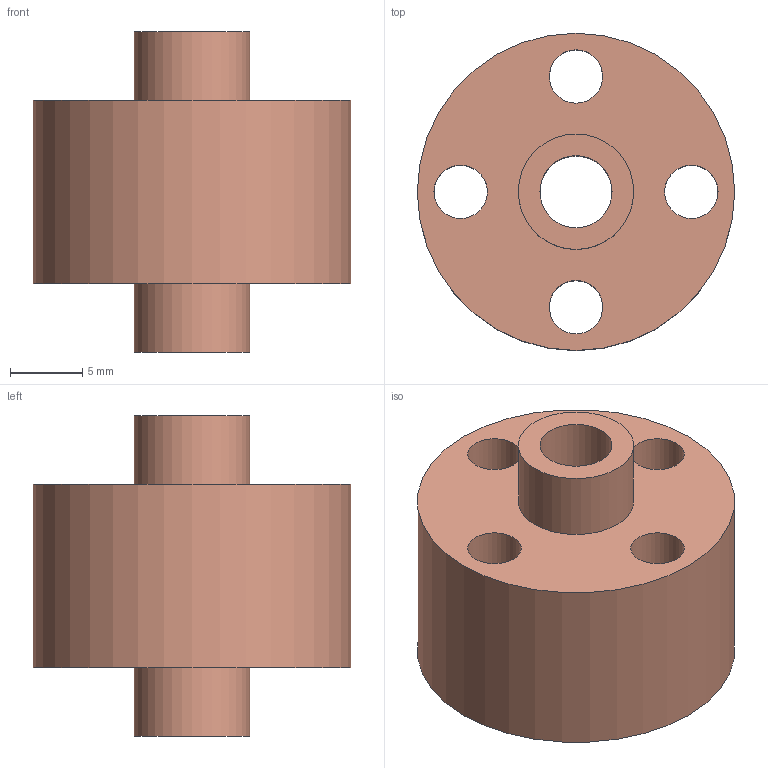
import cadquery as cq

body_diameter = 22.0
body_height = 12.7

hub_diameter = 8.0
hub_length = 4.75
bore_diameter = 5.0

bolt_hole_diameter = 3.7
bolt_circle_diameter = 16.0
bolt_hole_count = 4

total_height = body_height + 2 * hub_length


def centered_cylinder(diameter, height):
    """Cylinder on the Z axis, centered on the origin."""
    return cq.Workplane("XY").cylinder(height, diameter / 2)


def bolt_holes():
    """Ring of cylinders to cut through the body, the first one on the +X axis."""
    return (
        cq.Workplane("XY")
        .polarArray(bolt_circle_diameter / 2, 0, 360, bolt_hole_count)
        .cylinder(body_height, bolt_hole_diameter / 2)
    )


body = centered_cylinder(body_diameter, body_height)
hubs = centered_cylinder(hub_diameter, total_height)
bore = centered_cylinder(bore_diameter, total_height)

result = body.union(hubs).cut(bore).cut(bolt_holes())